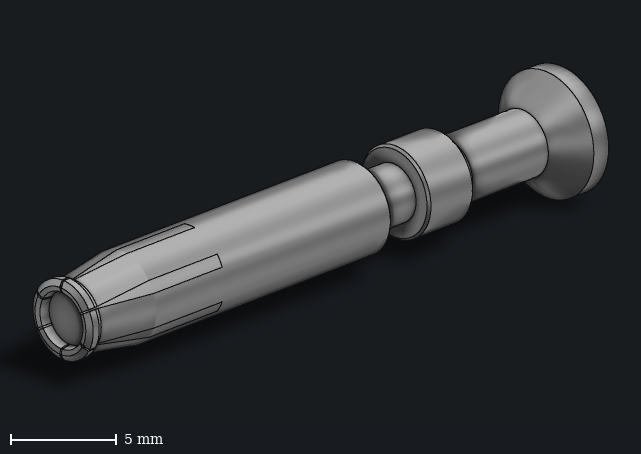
import cadquery as cq

TOTAL_LENGTH = 33.1

HEAD_DIAMETER = 6.5
SHAFT_DIAMETER = 3.45
BODY_DIAMETER = 4.75
NECK_DIAMETER = 3.0
TIP_GROOVE_DIAMETER = 3.77
LIP_DIAMETER = 4.1
LIP_CREST_DIAMETER = 3.45
MOUTH_DIAMETER = 2.9
PLUG_DIAMETER = 2.75

HEAD_RIM_LENGTH = 1.0
COLLAR_START = 7.5
COLLAR_END = 11.05
SOCKET_START = 13.47
SLOT_START = 24.55
TAPER_START = 29.05
TAPER_END = 32.25
LIP_START = 32.55
EDGE_CHAMFER = 0.13

LIP_BEVEL_LENGTH = 0.15
MOUTH_BEVEL_LENGTH = 0.05
PLUG_RECESS = 0.6

SLOT_COUNT = 6
SLOT_WIDTH = 0.65
SLIT_WIDTH = 0.1


def revolve_profile(points):
    """Revolve (diameter, position) points, closed along the axis, about Y."""
    start, end = points[0][1], points[-1][1]
    outline = [(0, -start)]
    outline += [(diameter / 2, -position) for diameter, position in points]
    outline += [(0, -end)]
    return cq.Workplane("XY").polyline(outline).close().revolve(360, (0, 0), (0, 1))


def make_contact_blank():
    """Turned outside of the contact, without its bore and slots."""
    head_cone_end = HEAD_RIM_LENGTH + (HEAD_DIAMETER - SHAFT_DIAMETER) / 2
    collar_cone_end = COLLAR_START + (BODY_DIAMETER - SHAFT_DIAMETER) / 2
    chamfered_diameter = BODY_DIAMETER - 2 * EDGE_CHAMFER
    return revolve_profile([
        (HEAD_DIAMETER, 0),
        (HEAD_DIAMETER, HEAD_RIM_LENGTH),
        (SHAFT_DIAMETER, head_cone_end),
        (SHAFT_DIAMETER, COLLAR_START),
        (BODY_DIAMETER, collar_cone_end),
        (BODY_DIAMETER, COLLAR_END - EDGE_CHAMFER),
        (chamfered_diameter, COLLAR_END),
        (NECK_DIAMETER, COLLAR_END),
        (NECK_DIAMETER, SOCKET_START),
        (chamfered_diameter, SOCKET_START),
        (BODY_DIAMETER, SOCKET_START + EDGE_CHAMFER),
        (BODY_DIAMETER, TAPER_START),
        (TIP_GROOVE_DIAMETER, TAPER_END),
        (LIP_DIAMETER, LIP_START),
        (LIP_DIAMETER, TOTAL_LENGTH - LIP_BEVEL_LENGTH),
        (LIP_CREST_DIAMETER, TOTAL_LENGTH),
    ])


def make_plug_core():
    """Round core of the plug, which fills the bore over the length of the slots."""
    return revolve_profile([
        (PLUG_DIAMETER, SLOT_START),
        (PLUG_DIAMETER, TOTAL_LENGTH - PLUG_RECESS),
    ])


def make_mouth():
    """Open end of the bore in front of the plug, bevelled at the tip."""
    return revolve_profile([
        (PLUG_DIAMETER, TOTAL_LENGTH - PLUG_RECESS),
        (MOUTH_DIAMETER, TOTAL_LENGTH - MOUTH_BEVEL_LENGTH),
        (LIP_CREST_DIAMETER, TOTAL_LENGTH),
    ])


def make_slots():
    """Six radial slots that narrow along the taper to thin slits in the lip."""
    half_slot = SLOT_WIDTH / 2
    half_slit = SLIT_WIDTH / 2
    outline = [
        (-half_slot, -SLOT_START),
        (-half_slot, -TAPER_START),
        (-half_slit, -TAPER_END),
        (-half_slit, -TOTAL_LENGTH),
        (half_slit, -TOTAL_LENGTH),
        (half_slit, -TAPER_END),
        (half_slot, -TAPER_START),
        (half_slot, -SLOT_START),
    ]
    slot = cq.Workplane("XY").polyline(outline).close().extrude(BODY_DIAMETER)
    slots = slot
    for index in range(1, SLOT_COUNT):
        angle = index * 360 / SLOT_COUNT
        slots = slots.union(slot.rotate((0, 0, 0), (0, 1, 0), angle))
    return slots


def make_fin_envelope():
    """Socket outline whose taper runs straight on to the tip; it bounds the fins."""
    taper_slope = (BODY_DIAMETER - TIP_GROOVE_DIAMETER) / (TAPER_END - TAPER_START)
    tip_diameter = BODY_DIAMETER - taper_slope * (TOTAL_LENGTH - TAPER_START)
    return revolve_profile([
        (BODY_DIAMETER, SLOT_START),
        (BODY_DIAMETER, TAPER_START),
        (tip_diameter, TOTAL_LENGTH),
    ])


def make_contact():
    """One turned piece: head, shaft, collar, neck and slotted socket."""
    return make_contact_blank().cut(make_plug_core()).cut(make_mouth()).cut(make_slots())


def make_plug():
    """Core in the bore with six fins that fill the slots flush with the socket."""
    fins = make_slots().intersect(make_fin_envelope()).cut(make_mouth())
    return make_plug_core().union(fins)


contact = make_contact()
plug = make_plug()
result = cq.Compound.makeCompound([contact.val(), plug.val()])